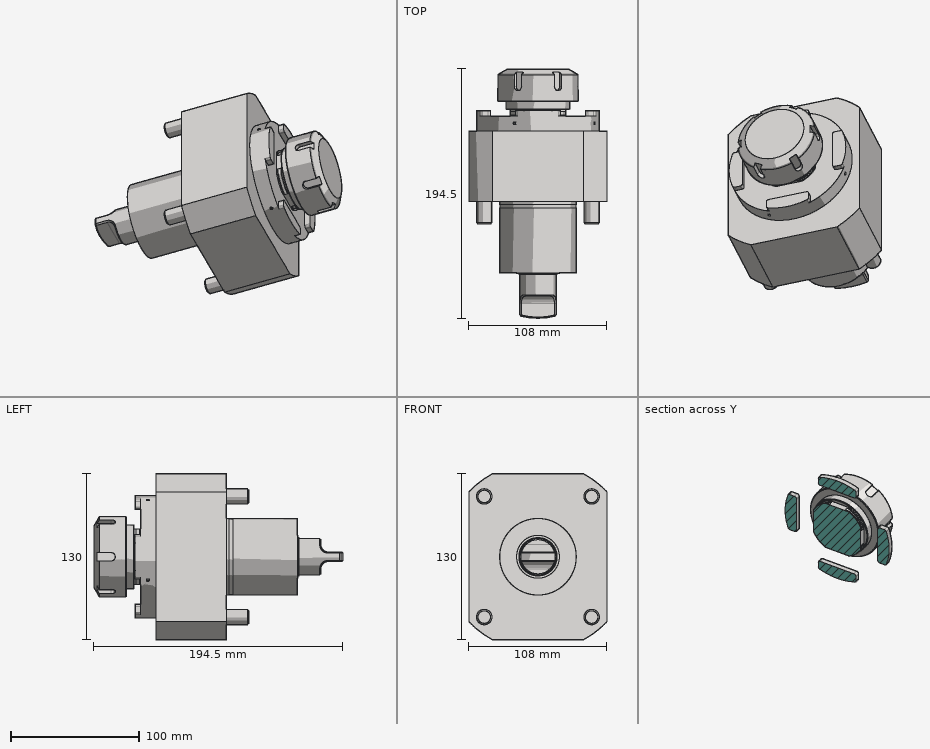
import cadquery as cq
import math


OVERALL_LENGTH = 194.5

BLOCK_WIDTH = 108.0
BLOCK_HEIGHT = 130.0
BLOCK_DEPTH = 55.0
BLOCK_CORNER_DIA = 148.0

SCREW_DIA = 12.0
SCREW_LENGTH = 17.5
SCREW_CHAMFER = 1.2
SCREW_SPACING_X = 83.8
SCREW_SPACING_Z = 94.2

SHANK_DIA = 60.0
SHANK_LENGTH = 55.5
RELIEF_DIA = 59.7
RELIEF_START = 2.1
RELIEF_WIDTH = 3.0
SEAT_DIA = 33.5
SEAT_LENGTH = 0.5
SEAT_LIP_DIA = 30.0
SEAT_LIP_LENGTH = 0.5

SHAFT_DIA = 28.5
TIP_Y = -91.0
TIP_ARC_DROP = 2.0
SHOULDER_Y = -73.7
TANG_THICKNESS = 7.5
TANG_ROOT_RADIUS = 5.6
TANG_CHAMFER = 1.0

FLANGE_DIA = 96.0
FLANGE_THICKNESS = 11.9
LUG_HEIGHT = 4.3
LUG_WIDTH = 34.8
LUG_INNER_DISTANCE = 37.0
LUG_CORNER_RADIUS = 2.0
LUG_COUNT = 4
PINHOLE_DIA = 2.1
PINHOLE_DEPTH = 2.0
PINHOLE_OFFSET = 6.2
PINHOLE_START_ANGLE = 22.5
PINHOLE_COUNT = 4

NECK_DIA = 48.6
NECK_LENGTH = 5.0
FLATS_WIDTH = 43.5
GROOVE_DIA = 46.0
GROOVE_OFFSET = 1.0
GROOVE_WIDTH = 2.7
COLLAR_DIA = 50.0
COLLAR_CHAMFER = 0.5

NUT_DIA = 63.0
NUT_FACE_DIA = 48.2
NUT_START_Y = 78.2
NUT_END_Y = OVERALL_LENGTH + TIP_Y
NUT_CONE_LENGTH = 3.9
NUT_RIM_CHAMFER = 0.5
NUT_REAR_CHAMFER = 0.5
NUT_SLOT_WIDTH = 6.5
NUT_SLOT_FLOOR_DISTANCE = 28.2
NUT_SLOT_END_Y = 86.8
NUT_SLOT_COUNT = 6

FLANGE_FACE_Y = BLOCK_DEPTH + FLANGE_THICKNESS
SHANK_END_Y = -SHANK_LENGTH


def disc(diameter, y_start, y_end):
    """Cylinder on the spindle axis between two Y positions."""
    return (
        cq.Workplane("XZ", origin=(0, y_start, 0))
        .circle(diameter / 2)
        .extrude(y_start - y_end)
    )


def slab(width_x, width_z, y_start, y_end):
    """Rectangular block centred on the spindle axis between two Y positions."""
    return (
        cq.Workplane("XZ", origin=(0, y_start, 0))
        .rect(width_x, width_z)
        .extrude(y_start - y_end)
    )


def around_axis(shape, count, start_angle=0.0):
    """Copies of a shape spread evenly around the spindle axis."""
    copies = cq.Workplane("XY")
    for index in range(count):
        angle = start_angle + index * 360 / count
        copies = copies.add(shape.rotate((0, 0, 0), (0, 1, 0), -angle))
    return copies.combine()


def make_block():
    corner_round = disc(BLOCK_CORNER_DIA, 0, BLOCK_DEPTH)
    return slab(BLOCK_WIDTH, BLOCK_HEIGHT, 0, BLOCK_DEPTH).intersect(corner_round)


def make_screws():
    return (
        cq.Workplane("XZ")
        .rect(SCREW_SPACING_X, SCREW_SPACING_Z, forConstruction=True)
        .vertices()
        .circle(SCREW_DIA / 2)
        .extrude(SCREW_LENGTH)
        .faces("<Y")
        .chamfer(SCREW_CHAMFER)
    )


def make_shank():
    relief_end = RELIEF_START + RELIEF_WIDTH
    seat_end_y = SHANK_END_Y - SEAT_LENGTH
    return (
        disc(SHANK_DIA, 0, -RELIEF_START)
        .union(disc(RELIEF_DIA, -RELIEF_START, -relief_end))
        .union(disc(SHANK_DIA, -relief_end, SHANK_END_Y))
        .union(disc(SEAT_DIA, SHANK_END_Y, seat_end_y))
        .union(disc(SEAT_LIP_DIA, seat_end_y, seat_end_y - SEAT_LIP_LENGTH))
    )


def make_drive_shaft():
    radius = SHAFT_DIA / 2
    corner_y = TIP_Y + TIP_ARC_DROP
    arched_blank = (
        cq.Workplane("XY")
        .moveTo(-radius, SHANK_END_Y)
        .lineTo(-radius, corner_y)
        .threePointArc((0, TIP_Y), (radius, corner_y))
        .lineTo(radius, SHANK_END_Y)
        .close()
        .extrude(radius, both=True)
    )
    shaft = disc(SHAFT_DIA, SHANK_END_Y, TIP_Y).intersect(arched_blank)

    tang_half = TANG_THICKNESS / 2
    root_y = SHOULDER_Y - TANG_ROOT_RADIUS
    root_z = tang_half + TANG_ROOT_RADIUS
    arc_reach = TANG_ROOT_RADIUS * math.sqrt(0.5)
    side_cut = (
        cq.Workplane("YZ")
        .moveTo(TIP_Y, tang_half)
        .lineTo(root_y, tang_half)
        .threePointArc((root_y + arc_reach, root_z - arc_reach), (SHOULDER_Y, root_z))
        .lineTo(SHOULDER_Y, SHAFT_DIA)
        .lineTo(TIP_Y, SHAFT_DIA)
        .close()
        .extrude(SHAFT_DIA, both=True)
    )
    shaft = shaft.cut(side_cut).cut(side_cut.mirror("XY"))
    tang_zone = cq.selectors.BoxSelector(
        (-SHAFT_DIA, TIP_Y - TANG_CHAMFER, -SHAFT_DIA),
        (SHAFT_DIA, SHOULDER_Y + TANG_CHAMFER, SHAFT_DIA),
    )
    return shaft.edges(tang_zone).edges("not(|X)").chamfer(TANG_CHAMFER)


def make_flange():
    outer_radius = FLANGE_DIA / 2
    lug_end_y = FLANGE_FACE_Y + LUG_HEIGHT
    lug_blank = slab(outer_radius - LUG_INNER_DISTANCE, LUG_WIDTH, FLANGE_FACE_Y, lug_end_y)
    lug_blank = lug_blank.translate(((outer_radius + LUG_INNER_DISTANCE) / 2, 0, 0))
    clearance = slab(2 * FLANGE_DIA, 2 * FLANGE_DIA, FLANGE_FACE_Y, lug_end_y)
    clearance = clearance.cut(around_axis(lug_blank, LUG_COUNT))
    lug_zone = cq.selectors.BoxSelector(
        (-FLANGE_DIA, FLANGE_FACE_Y, -FLANGE_DIA), (FLANGE_DIA, lug_end_y, FLANGE_DIA)
    )
    flange = (
        disc(FLANGE_DIA, BLOCK_DEPTH, lug_end_y)
        .cut(clearance)
        .edges(lug_zone)
        .edges("|Y")
        .fillet(LUG_CORNER_RADIUS)
    )
    pinhole = (
        cq.Workplane("YZ", origin=(outer_radius - PINHOLE_DEPTH, 0, 0))
        .center(BLOCK_DEPTH + PINHOLE_OFFSET, 0)
        .circle(PINHOLE_DIA / 2)
        .extrude(2 * PINHOLE_DEPTH)
    )
    return flange.cut(around_axis(pinhole, PINHOLE_COUNT, PINHOLE_START_ANGLE))


def make_nose():
    collar_y = FLANGE_FACE_Y + NECK_LENGTH
    groove_start_y = FLANGE_FACE_Y + GROOVE_OFFSET
    groove_end_y = groove_start_y + GROOVE_WIDTH
    neck = (
        disc(NECK_DIA, FLANGE_FACE_Y, groove_start_y)
        .union(disc(GROOVE_DIA, groove_start_y, groove_end_y))
        .union(disc(NECK_DIA, groove_end_y, collar_y))
        .intersect(slab(FLATS_WIDTH, FLATS_WIDTH, FLANGE_FACE_Y, collar_y))
    )
    collar = disc(COLLAR_DIA, collar_y, NUT_START_Y).faces("<Y").chamfer(COLLAR_CHAMFER)
    return neck.union(collar)


def make_nut():
    radius = NUT_DIA / 2
    cone_start_y = NUT_END_Y - NUT_CONE_LENGTH
    nut = (
        cq.Workplane("XY")
        .moveTo(0, NUT_START_Y)
        .lineTo(radius - NUT_REAR_CHAMFER, NUT_START_Y)
        .lineTo(radius, NUT_START_Y + NUT_REAR_CHAMFER)
        .lineTo(radius, cone_start_y - NUT_RIM_CHAMFER)
        .lineTo(radius - NUT_RIM_CHAMFER, cone_start_y)
        .lineTo(NUT_FACE_DIA / 2, NUT_END_Y)
        .lineTo(0, NUT_END_Y)
        .close()
        .revolve(360, (0, 0, 0), (0, 1, 0))
    )
    slot_half = NUT_SLOT_WIDTH / 2
    slot_arc_y = NUT_SLOT_END_Y + slot_half
    slot = (
        cq.Workplane("YZ", origin=(NUT_SLOT_FLOOR_DISTANCE, 0, 0))
        .moveTo(NUT_END_Y, -slot_half)
        .lineTo(slot_arc_y, -slot_half)
        .threePointArc((NUT_SLOT_END_Y, 0), (slot_arc_y, slot_half))
        .lineTo(NUT_END_Y, slot_half)
        .close()
        .extrude(radius - NUT_SLOT_FLOOR_DISTANCE)
    )
    return nut.cut(around_axis(slot, NUT_SLOT_COUNT))


result = (
    make_block()
    .union(make_screws())
    .union(make_shank())
    .union(make_drive_shaft())
    .union(make_flange())
    .union(make_nose())
    .union(make_nut())
)